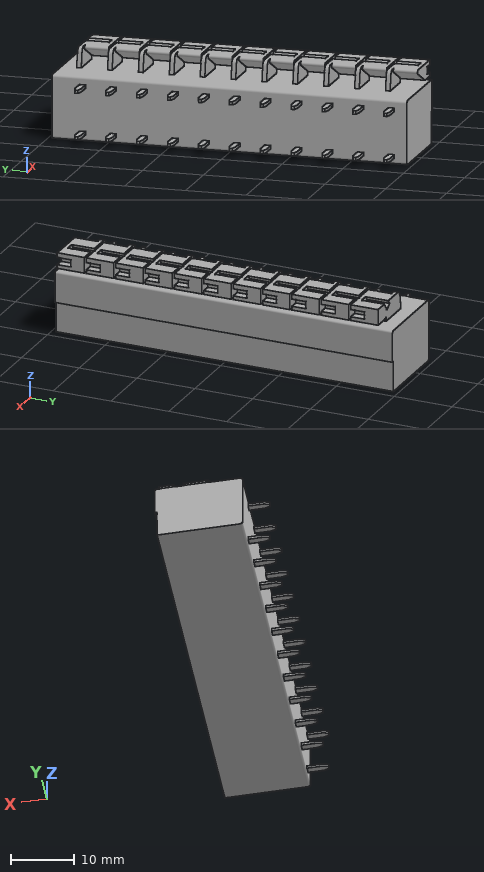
import cadquery as cq
import math

total_x = 17.6
body_length = 58.4
total_z = 13.7
pole_count = 11
pitch = 5.1
first_pole_y = pitch / 2

body_front_x = 3.45
body_height = 10.5
step_depth = 0.35
step_height = 5.2
front_edge_radius = 0.45
rear_edge_radius = 0.35

pin_width = 1.0
pin_thickness = 0.5
pin_taper_length = 0.9
pin_tip_width = 0.45
pin_rows_z = (1.35, 8.95)
pin_embed = 0.6

lever_width = 4.75
lever_offset_y = 0.1
lever_rear_x = 17.4
lever_bottom_z = 11.05
lever_heel_x = 14.6
underside_slope = 0.5
nose_radius = 0.35

plate_thickness = 0.75
plate_front_x = 8.6
plate_rear_x = 14.3
plate_lean = 9.5
plate_corner_radius = 0.9

groove_front_x = 15.95
groove_bottom_z = 11.7
groove_top_z = 12.9
groove_length = lever_width / 2

slot_rear_x = 15.0
slot_floor_x = 13.95
slot_rim_x = 13.5
slot_length = 3.9
slot_wall_angle = 53.0


def prism(points, y_min, width):
    """Extrude an XZ outline from y_min towards +Y."""
    outline = cq.Workplane("XZ", origin=(0, y_min, 0)).polyline(points).close()
    return outline.extrude(-width)


def make_body():
    foot_x = total_x - step_depth
    outline = [
        (body_front_x, 0),
        (foot_x, 0),
        (foot_x, step_height),
        (total_x, step_height),
        (total_x, body_height),
        (body_front_x, body_height),
    ]
    body = prism(outline, 0, body_length)
    body = body.edges("|Y and <X").fillet(front_edge_radius)
    return body.edges("|Y and >X and >Z").fillet(rear_edge_radius)


def make_pin(y_centre, z_centre):
    root_x = body_front_x + pin_embed
    half_width = pin_width / 2
    half_tip = pin_tip_width / 2
    outline = [
        (0, -half_tip),
        (pin_taper_length, -half_width),
        (root_x, -half_width),
        (root_x, half_width),
        (pin_taper_length, half_width),
        (0, half_tip),
    ]
    pin = cq.Workplane("XY").polyline(outline).close().extrude(pin_thickness)
    return pin.translate((0, y_centre, z_centre - pin_thickness / 2))


def make_plate(y_min):
    top_x = plate_front_x + (total_z - body_height) * math.tan(math.radians(plate_lean))
    outline = [
        (plate_front_x, body_height),
        (plate_rear_x, body_height),
        (plate_rear_x, total_z),
        (top_x, total_z),
    ]
    plate = prism(outline, y_min, plate_thickness)
    return plate.edges("|Y and >Z").edges("<X").fillet(plate_corner_radius)


def make_slot(y_min):
    wall_angle = math.radians(slot_wall_angle)
    floor_z = total_z - (slot_rear_x - slot_floor_x) * math.tan(wall_angle)
    slot_thickness = (slot_rear_x - slot_rim_x) * math.sin(wall_angle)
    front_floor_x = slot_floor_x - slot_thickness * math.sin(wall_angle)
    front_floor_z = floor_z + slot_thickness * math.cos(wall_angle)
    outline = [
        (slot_rear_x, total_z),
        (slot_floor_x, floor_z),
        (front_floor_x, front_floor_z),
        (slot_rim_x, total_z),
    ]
    return prism(outline, y_min, slot_length)


def make_groove(y_min):
    outline = [
        (groove_front_x, groove_bottom_z),
        (lever_rear_x, groove_bottom_z),
        (lever_rear_x, groove_top_z),
        (groove_front_x, groove_top_z),
    ]
    return prism(outline, y_min, groove_length)


def make_lever(y_centre):
    y_min = y_centre - lever_width / 2
    y_max = y_centre + lever_width / 2
    nose_x = lever_heel_x - (total_z - lever_bottom_z) / underside_slope
    outline = [
        (nose_x, total_z),
        (lever_heel_x, lever_bottom_z),
        (lever_rear_x, lever_bottom_z),
        (lever_rear_x, total_z),
    ]
    lever = prism(outline, y_min, lever_width)
    lever = lever.edges("|Y and <X").fillet(nose_radius)
    lever = lever.union(make_plate(y_max - plate_thickness))
    lever = lever.cut(make_groove(y_min))
    return lever.cut(make_slot(y_max - slot_length))


result = make_body()
for pole in range(pole_count):
    pole_y = first_pole_y + pole * pitch
    result = result.union(make_lever(pole_y + lever_offset_y))
    for row_z in pin_rows_z:
        result = result.union(make_pin(pole_y, row_z))